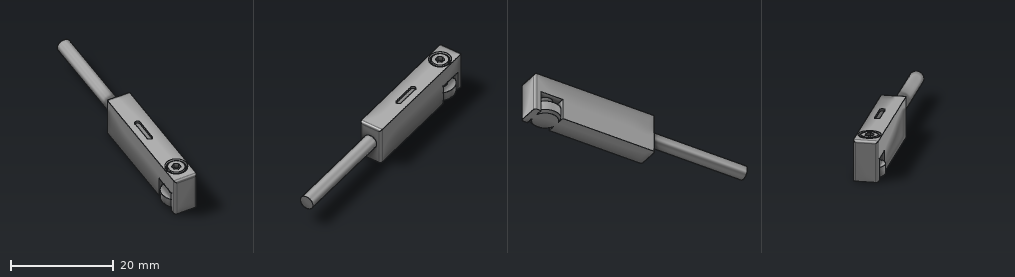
import cadquery as cq

total_length = 50.0
cable_length = 22.0
cable_diameter = 3.0
cable_height = 4.5

body_length = total_length - cable_length
body_width = 5.0
body_height = 8.5
end_radius = 0.5

window_length = 5.0
window_height = 4.5
screw_from_end = 4.0
screw_x = total_length - screw_from_end
shank_diameter = 3.0

wheel_diameter = 6.3
wheel_thickness = 2.5
wheel_chamfer = 0.5

countersink_diameter = 4.5
bore_diameter = 4.0
countersink_depth = (countersink_diameter - bore_diameter) / 2
bore_depth = 1.0
head_diameter = 3.8
head_chamfer = 0.2
socket_corner_diameter = 1.8
socket_depth = 1.0
socket_tip_depth = 0.5

slot_length = 6.0
slot_width = 1.1
slot_depth = 0.5
slot_x = 33.5
slot_y = -0.5


def make_housing():
    """Block with rounded edges at both ends and a sharp underside."""
    block = (
        cq.Workplane("XY")
        .box(body_length, body_width, body_height, centered=(False, True, False))
        .translate((cable_length, 0, 0))
    )
    block = block.faces("<X").edges("|Z or >Z").fillet(end_radius)
    return block.faces(">X").edges("|Z or >Z").fillet(end_radius)


def make_cable():
    """Round cable, ending on the housing face."""
    return cq.Workplane("YZ").center(0, cable_height).circle(cable_diameter / 2).extrude(cable_length)


def make_window():
    """Rectangular opening across the housing, open at the bottom."""
    return (
        cq.Workplane("XY")
        .box(window_length, body_width, window_height, centered=(True, True, False))
        .translate((screw_x, 0, 0))
    )


def make_slot():
    """Shallow round-ended slot in the top face."""
    return (
        cq.Workplane("XY", origin=(slot_x, slot_y, body_height))
        .slot2D(slot_length, slot_width)
        .extrude(-slot_depth)
    )


def make_wheel():
    """Wheel with a chamfered lower rim, and its shank up to the window roof."""
    wheel = (
        cq.Workplane("XY", origin=(screw_x, 0, 0))
        .circle(wheel_diameter / 2)
        .extrude(wheel_thickness)
        .faces("<Z")
        .chamfer(wheel_chamfer)
    )
    shank = cq.Workplane("XY", origin=(screw_x, 0, 0)).circle(shank_diameter / 2).extrude(window_height)
    return wheel.union(shank)


def make_head_bore():
    """Bore with a conical lead-in for the screw head."""
    bore = (
        cq.Workplane("XY", origin=(screw_x, 0, body_height - bore_depth))
        .circle(bore_diameter / 2)
        .extrude(bore_depth)
    )
    lead_in = cq.Solid.makeCone(
        bore_diameter / 2,
        countersink_diameter / 2,
        countersink_depth,
        pnt=cq.Vector(screw_x, 0, body_height - countersink_depth),
    )
    return bore.union(cq.Workplane(lead_in))


def make_screw_head():
    """Chamfered screw head filling the bore depth, flush with the housing top."""
    return (
        cq.Workplane("XY", origin=(screw_x, 0, body_height - bore_depth))
        .circle(head_diameter / 2)
        .extrude(bore_depth)
        .faces(">Z")
        .chamfer(head_chamfer)
    )


def make_socket():
    """Hexagon socket whose bottom is a cone trimmed by the hexagon's flats."""
    full_depth = socket_depth + socket_tip_depth
    socket_bottom = body_height - full_depth
    corner_radius = socket_corner_diameter / 2
    hexagon = (
        cq.Workplane("XY", origin=(screw_x, 0, socket_bottom))
        .polygon(6, socket_corner_diameter)
        .extrude(full_depth)
    )
    pointed_round = (
        cq.Workplane("XZ", origin=(screw_x, 0, socket_bottom))
        .polyline([(0, 0), (corner_radius, socket_tip_depth), (corner_radius, full_depth), (0, full_depth)])
        .close()
        .revolve(360, (0, 0), (0, 1))
    )
    return hexagon.intersect(pointed_round)


housing = make_housing().cut(make_window()).cut(make_slot()).cut(make_head_bore())
screw = make_wheel().union(make_screw_head())
result = housing.union(make_cable()).union(screw).cut(make_socket())